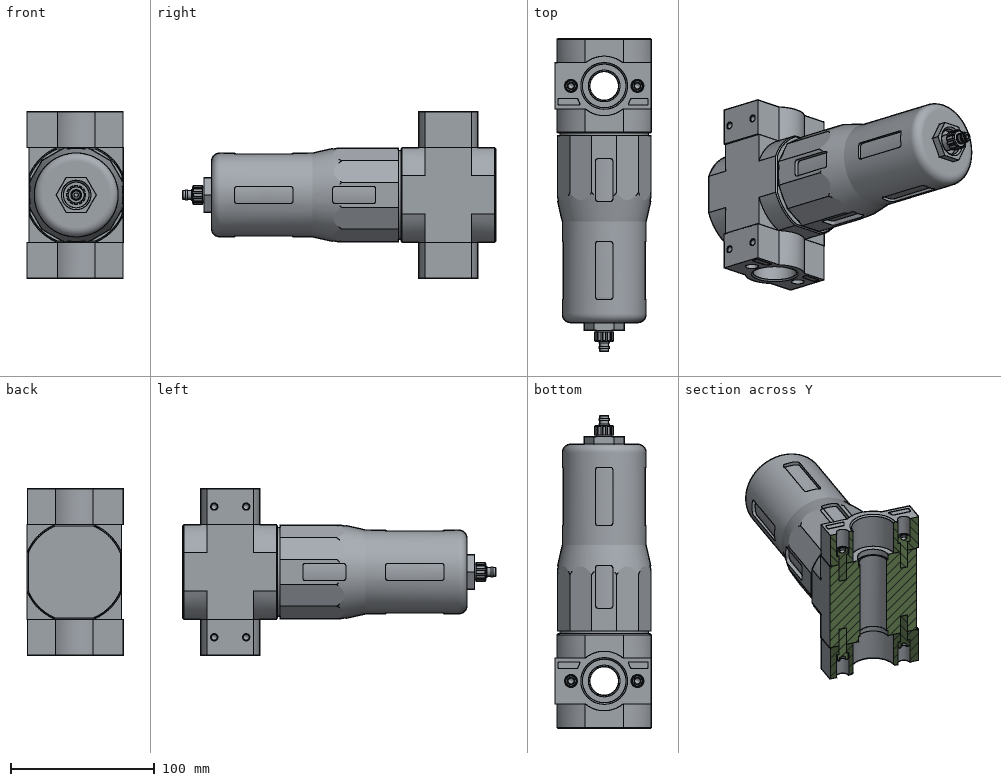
import cadquery as cq
import math


housing_width = 65.8
housing_half = housing_width / 2
housing_end_radius = 35.5
housing_back_y = 33.1
housing_front_y = -33.0
end_chamfer = 0.9
port_passage_diameter = 19.8
passage_entry_diameter = 22.0
passage_entry_depth = 4.4

plate_top_z = 58.0
plate_left_x = -34.2
plate_right_x = 32.7
plate_depth = 32.3
plate_boss_radius = 20.7
port_diameter = 30.3
port_mouth_diameter = 32.5
port_chamfer = (port_mouth_diameter - port_diameter) / 2
plate_thickness = plate_top_z - housing_half
plate_middle_z = (plate_top_z + housing_half) / 2

side_hole_diameter = 4.1
side_hole_mouth = 5.0
side_hole_depth = 5.5
side_hole_y = 11.1
drill_point_angle = 118

label_margin = 2.2
label_inner_x = 16.5
label_slant = 2.0
label_back_y = -8.7
label_front_y = -13.3
label_recess = 0.2
label_corner = 0.7

screw_x = 23.0
screw_hole_diameter = 9.0
head_diameter = 8.5
head_top_diameter = 7.0
head_height = 5.0
head_recess = 13.0
shank_diameter = 5.0
shank_end_z = 19.6
socket_diameter = 4.1
socket_mouth_diameter = 5.0
socket_depth = 2.2

guard_start_y = -34.7
guard_flats = 65.2
guard_facets = 12
flare_start_radius = 34.7
flare_start_y = -69.3
flare_middle_radius = 31.6
flare_middle_y = -84.1
flare_end_y = -94.5
guard_radius = 29.2
guard_end_y = -164.8
guard_end_fillet = 5.9

window_count = 4
window_width = 12.0
window_corner = 1.7
upper_window_y = (-80.5, -50.5)
lower_window_y = (-148.7, -108.1)

neck_diameter = 62.0
bowl_upper_radius = 29.9
bowl_step_y = -85.0
bowl_lower_radius = 27.5
bowl_end_radius = 27.0
bowl_fillet_y = -147.0
bowl_fillet = 5.5
hex_flats = 24.2
hex_end_y = -170.0
recess_diameter = 17.9
recess_mouth_diameter = 20.5
recess_floor_y = guard_end_y
recess_cone_end_y = -168.7

drain_bore_diameter = 3.0
drain_neck_radius = 11.1 / 2
drain_base_y = -159.1
knurl_radius = 6.65
knurl_start_y = -171.1
knurl_edge_y = -177.2
knurl_end_y = -177.9
knurl_end_radius = 5.7
collar_radius = 3.7
collar_end_y = -178.8
hose_radius = 6.3 / 2
ring_radius = 7.2 / 2
ring_start_y = -181.4
ring_end_y = -182.7
tip_radius = 5.7 / 2
tip_chamfer_y = -184.5
tip_y = housing_back_y - 218
knurl_slots = 12
knurl_slot_width = 1.3
drain_bore_depth = 6.5


def along_y(start_y):
    """Work plane across the bowl axis whose extrusions go toward -Y."""
    return cq.Workplane("XZ", origin=(0, start_y, 0))


def turned(points):
    """Solid turned about the Y axis from a closed (radius, y) outline."""
    return cq.Workplane("XY").polyline(points).close().revolve(360, (0, 0), (0, 1))


def make_screw(x):
    """Chamfered socket screw sunk below the +Z plate face, with a cone-bottomed socket."""
    head_top_z = plate_top_z - head_recess
    head_bottom_z = head_top_z - head_height
    head_chamfer = (head_diameter - head_top_diameter) / 2
    mouth_depth = (socket_mouth_diameter - socket_diameter) / 2
    socket_bottom_z = head_top_z - socket_depth
    socket_point = socket_diameter / 2 / math.tan(math.radians(drill_point_angle / 2))
    outline = [
        (0, shank_end_z),
        (shank_diameter / 2, shank_end_z),
        (shank_diameter / 2, head_bottom_z),
        (head_diameter / 2, head_bottom_z),
        (head_diameter / 2, head_top_z - head_chamfer),
        (head_top_diameter / 2, head_top_z),
        (socket_mouth_diameter / 2, head_top_z),
        (socket_diameter / 2, head_top_z - mouth_depth),
        (socket_diameter / 2, socket_bottom_z),
        (0, socket_bottom_z - socket_point),
    ]
    screw = cq.Workplane("XZ").polyline(outline).close().revolve(360, (0, 0), (0, 1))
    return screw.translate((x, 0, 0))


def screw_clearance(x):
    """Head hole and shank hole for the screw at x, open at the plate face."""
    seat_z = plate_top_z - head_recess - head_height
    head_hole = cq.Workplane("XY", origin=(x, 0, seat_z)).circle(screw_hole_diameter / 2)
    shank_hole = cq.Workplane("XY", origin=(x, 0, shank_end_z)).circle(shank_diameter / 2)
    return head_hole.extrude(plate_top_z - seat_z).union(shank_hole.extrude(seat_z - shank_end_z))


def side_hole(y):
    """Countersunk blind hole with a drill point, entering a plate from its -X side."""
    radius = side_hole_diameter / 2
    countersink = (side_hole_mouth - side_hole_diameter) / 2
    point = radius / math.tan(math.radians(drill_point_angle / 2))
    outline = [
        (0, 0),
        (0, side_hole_mouth / 2),
        (countersink, radius),
        (side_hole_depth, radius),
        (side_hole_depth + point, 0),
    ]
    hole = cq.Workplane("XY").polyline(outline).close().revolve(360, (0, 0), (1, 0))
    return hole.translate((plate_left_x, y, plate_middle_z))


def label_field(edge_x, side):
    """Recess with one slanted end, beside the plate edge at edge_x on the given side."""
    outer_x = edge_x - side * label_margin
    inner_x = side * label_inner_x
    outline = [
        (outer_x, label_back_y),
        (inner_x + side * label_slant, label_back_y),
        (inner_x, label_front_y),
        (outer_x, label_front_y),
    ]
    field = cq.Workplane("XY", origin=(0, 0, plate_top_z - label_recess)).polyline(outline).close()
    return field.extrude(label_recess).edges("|Z").fillet(label_corner)


def make_plate():
    """Port plate on the +Z face of the housing."""
    width = plate_right_x - plate_left_x
    centre_x = (plate_right_x + plate_left_x) / 2
    base = cq.Workplane("XY", origin=(0, 0, housing_half))
    plate = base.center(centre_x, 0).rect(width, plate_depth).extrude(plate_thickness)
    plate = plate.union(base.circle(plate_boss_radius).extrude(plate_thickness))
    plate = plate.cut(base.circle(port_diameter / 2).extrude(plate_thickness))
    port_mouth = plate.faces(">Z").edges(cq.selectors.RadiusNthSelector(0))
    plate = port_mouth.chamfer(port_chamfer)
    for x in (-screw_x, screw_x):
        plate = plate.cut(screw_clearance(x))
    for y in (-side_hole_y, side_hole_y):
        plate = plate.cut(side_hole(y))
    plate = plate.cut(label_field(plate_left_x, -1))
    return plate.cut(label_field(plate_right_x, 1))


def make_bowl_blank():
    """Outer shape of the bowl: a neck up to the housing, a tapered cup and an end hexagon."""
    fillet_end_y = bowl_fillet_y - bowl_fillet
    fillet_middle = bowl_fillet * math.sqrt(0.5)
    bowl = (
        cq.Workplane("XY")
        .moveTo(0, housing_front_y)
        .lineTo(neck_diameter / 2, housing_front_y)
        .lineTo(neck_diameter / 2, guard_start_y)
        .lineTo(bowl_upper_radius, guard_start_y)
        .lineTo(bowl_upper_radius, bowl_step_y)
        .lineTo(bowl_lower_radius, bowl_step_y)
        .lineTo(bowl_end_radius, bowl_fillet_y)
        .threePointArc(
            (bowl_end_radius - bowl_fillet + fillet_middle, bowl_fillet_y - fillet_middle),
            (bowl_end_radius - bowl_fillet, fillet_end_y),
        )
        .lineTo(0, fillet_end_y)
        .close()
        .revolve(360, (0, 0), (0, 1))
    )
    hex_corners = hex_flats / math.cos(math.pi / 6)
    hexagon = along_y(fillet_end_y).polygon(6, hex_corners).extrude(fillet_end_y - hex_end_y)
    return bowl.union(hexagon)


def make_bowl(blank):
    """Bowl with a recess in its hexagon and a socket for the drain."""
    recess = turned([
        (0, recess_floor_y),
        (recess_diameter / 2, recess_floor_y),
        (recess_diameter / 2, recess_cone_end_y),
        (recess_mouth_diameter / 2, hex_end_y),
        (0, hex_end_y),
    ])
    drain_socket = along_y(drain_base_y).circle(drain_neck_radius).extrude(drain_base_y - hex_end_y)
    return blank.cut(recess).cut(drain_socket)


def window(y_range):
    """Cutter for one window through the +Z side of the guard."""
    front_y, back_y = y_range
    start = cq.Workplane("XY", origin=(0, (front_y + back_y) / 2, 0))
    cutter = start.rect(window_width, back_y - front_y).extrude(guard_flats)
    return cutter.edges("|Z").fillet(window_corner)


def make_guard(bowl_blank):
    """Twelve-sided guard flaring into a round cup, fitted closely around the bowl."""
    corners = guard_flats / math.cos(math.pi / guard_facets)
    prism = (
        along_y(guard_start_y)
        .transformed(rotate=(0, 0, 180 / guard_facets))
        .polygon(guard_facets, corners)
        .extrude(guard_start_y - guard_end_y)
    )
    turned_shape = (
        cq.Workplane("XY")
        .moveTo(0, guard_start_y)
        .lineTo(flare_start_radius, guard_start_y)
        .lineTo(flare_start_radius, flare_start_y)
        .threePointArc((flare_middle_radius, flare_middle_y), (guard_radius, flare_end_y))
        .lineTo(guard_radius, guard_end_y)
        .lineTo(0, guard_end_y)
        .close()
        .revolve(360, (0, 0), (0, 1))
        .faces("<Y")
        .edges()
        .fillet(guard_end_fillet)
    )
    guard = prism.intersect(turned_shape)
    for y_range in (upper_window_y, lower_window_y):
        for index in range(window_count):
            turn = 360 / window_count * index
            guard = guard.cut(window(y_range).rotate((0, 0, 0), (0, 1, 0), turn))
    return guard.cut(bowl_blank)


def make_drain():
    """Knurled drain with a hose nipple and a bore at its tip."""
    drain = turned([
        (0, drain_base_y),
        (drain_neck_radius, drain_base_y),
        (drain_neck_radius, knurl_start_y),
        (knurl_radius, knurl_start_y),
        (knurl_radius, knurl_edge_y),
        (knurl_end_radius, knurl_end_y),
        (collar_radius, knurl_end_y),
        (collar_radius, collar_end_y),
        (hose_radius, collar_end_y),
        (hose_radius, ring_start_y),
        (ring_radius, ring_start_y),
        (ring_radius, ring_end_y),
        (hose_radius, ring_end_y),
        (hose_radius, tip_chamfer_y),
        (tip_radius, tip_y),
        (0, tip_y),
    ])
    slot = (
        along_y(knurl_start_y)
        .center(drain_neck_radius + knurl_radius / 2, 0)
        .rect(knurl_radius, knurl_slot_width)
        .extrude(knurl_start_y - knurl_end_y)
        .cut(along_y(knurl_start_y).circle(drain_neck_radius).extrude(knurl_start_y - knurl_end_y))
    )
    for index in range(knurl_slots):
        turn = 360 / knurl_slots * (index + 0.5)
        drain = drain.cut(slot.rotate((0, 0, 0), (0, 1, 0), turn))
    bore = along_y(tip_y + drain_bore_depth).circle(drain_bore_diameter / 2).extrude(drain_bore_depth)
    return drain.cut(bore)


def make_housing():
    """Housing block with round-cornered ends, the port passage and the screw holes."""
    length = housing_back_y - housing_front_y
    square = along_y(housing_back_y).rect(housing_width, housing_width).extrude(length)
    ends = square.intersect(along_y(housing_back_y).circle(housing_end_radius).extrude(length))
    ends = ends.faces("<Y or >Y").edges().chamfer(end_chamfer)
    housing = ends.union(cq.Workplane("XY").box(housing_width, plate_depth, housing_width))
    passage = cq.Workplane("XY").circle(port_passage_diameter / 2).extrude(housing_half, both=True)
    housing = housing.cut(passage)
    entry_floor_z = housing_half - passage_entry_depth
    entry = (
        cq.Workplane("XY", origin=(0, 0, entry_floor_z))
        .circle(passage_entry_diameter / 2)
        .extrude(passage_entry_depth)
    )
    cutters = [entry] + [screw_clearance(x) for x in (-screw_x, screw_x)]
    for cutter in cutters:
        housing = housing.cut(cutter).cut(cutter.mirror("XY"))
    return housing


housing = make_housing()
upper_plate = make_plate()
plates = [upper_plate, upper_plate.mirror("XY")]
upper_screws = [make_screw(x) for x in (-screw_x, screw_x)]
screws = upper_screws + [screw.mirror("XY") for screw in upper_screws]
bowl_blank = make_bowl_blank()
bowl = make_bowl(bowl_blank)
guard = make_guard(bowl_blank)
drain = make_drain()

bodies = [housing, *plates, *screws, bowl, guard, drain]
result = cq.Compound.makeCompound([body.val() for body in bodies])